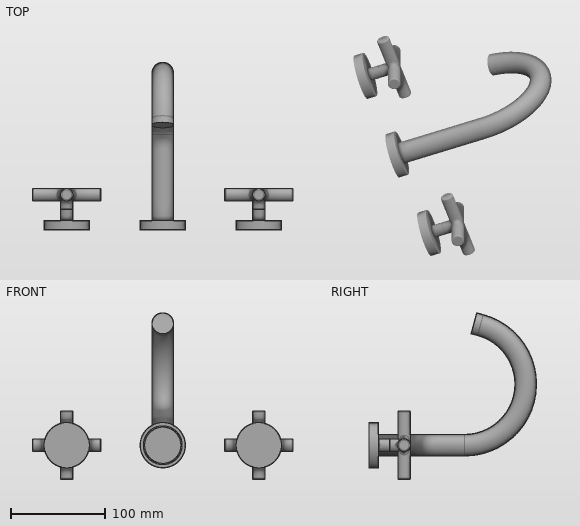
import cadquery as cq
import math

OVERALL_WIDTH = 276.0

FLANGE_DIAMETER = 48.0
FLANGE_THICKNESS = 10.0

GROOVE_OUTER_DIAMETER = 41.0
GROOVE_INNER_DIAMETER = 38.4
GROOVE_DEPTH = 1.5

SPOUT_DIAMETER = 23.0
BEND_OUTER_RADIUS = 76.2
BEND_RADIUS = BEND_OUTER_RADIUS - SPOUT_DIAMETER / 2
STRAIGHT_END_Y = 177.5 - BEND_OUTER_RADIUS
BEND_ANGLE = 165.0
TIP_LENGTH = 7.2

ARM_SPAN = 72.5
HANDLE_OFFSET_X = (OVERALL_WIDTH - ARM_SPAN) / 2
ARM_AXIS_Y = 37.2
LEVEL_ARM_DIAMETER = 13.5
UPRIGHT_ARM_DIAMETER = 13.2
ARM_END_FILLET = 1.5
ARM_JOINT_FILLET = 3.5

STEM_DIAMETER = 13.2
STEM_GROOVE_DIAMETER = 12.1
STEM_GROOVE_WIDTH = 0.8
STEM_GROOVE_STARTS_Y = (FLANGE_THICKNESS, 21.5)


def cylinder_along_y(diameter, start_y, end_y):
    """Round bar on the Y axis between two Y positions."""
    plane = cq.Workplane("XZ", origin=(0, start_y, 0))
    return plane.circle(diameter / 2).extrude(start_y - end_y)


def make_flange():
    return cylinder_along_y(FLANGE_DIAMETER, 0, FLANGE_THICKNESS)


def make_ring(outer_diameter, inner_diameter, start_y, width):
    outer = cylinder_along_y(outer_diameter, start_y, start_y + width)
    return outer.cut(cylinder_along_y(inner_diameter, start_y, start_y + width))


def bend_point(angle):
    """(y, z) of the spout centreline after turning by the angle in degrees."""
    turn = math.radians(angle)
    return (
        STRAIGHT_END_Y + BEND_RADIUS * math.sin(turn),
        BEND_RADIUS * (1 - math.cos(turn)),
    )


def make_spout():
    bend_end = bend_point(BEND_ANGLE)
    end_turn = math.radians(BEND_ANGLE)
    tip = (
        bend_end[0] + TIP_LENGTH * math.cos(end_turn),
        bend_end[1] + TIP_LENGTH * math.sin(end_turn),
    )
    centreline = (
        cq.Workplane("YZ")
        .moveTo(FLANGE_THICKNESS, 0)
        .lineTo(STRAIGHT_END_Y, 0)
        .threePointArc(bend_point(BEND_ANGLE / 2), bend_end)
        .lineTo(*tip)
    )
    pipe = (
        cq.Workplane("XZ", origin=(0, FLANGE_THICKNESS, 0))
        .circle(SPOUT_DIAMETER / 2)
        .sweep(centreline)
    )
    wall_groove = make_ring(GROOVE_OUTER_DIAMETER, GROOVE_INNER_DIAMETER, 0, GROOVE_DEPTH)
    return make_flange().union(pipe).cut(wall_groove)


def make_arm(plane_name, diameter):
    """Bar centred on the arm crossing, with rounded ends."""
    bar = (
        cq.Workplane(plane_name, origin=(0, ARM_AXIS_Y, 0))
        .circle(diameter / 2)
        .extrude(ARM_SPAN / 2, both=True)
    )
    return bar.edges("%CIRCLE").fillet(ARM_END_FILLET)


def make_cross():
    """Two crossing arms with a blend where they meet."""
    cross = make_arm("YZ", LEVEL_ARM_DIAMETER).union(make_arm("XY", UPRIGHT_ARM_DIAMETER))
    joint_size = LEVEL_ARM_DIAMETER + ARM_JOINT_FILLET
    joint_zone = cq.selectors.BoxSelector(
        (-joint_size, ARM_AXIS_Y - joint_size, -joint_size),
        (joint_size, ARM_AXIS_Y + joint_size, joint_size),
    )
    return cross.edges(joint_zone).edges("not(%LINE or %CIRCLE)").fillet(ARM_JOINT_FILLET)


def make_handle(centre_x):
    stem = cylinder_along_y(STEM_DIAMETER, FLANGE_THICKNESS, ARM_AXIS_Y)
    for start_y in STEM_GROOVE_STARTS_Y:
        stem = stem.cut(make_ring(STEM_DIAMETER, STEM_GROOVE_DIAMETER, start_y, STEM_GROOVE_WIDTH))
    handle = make_flange().union(stem).union(make_cross())
    return handle.translate((centre_x, 0, 0))


spout = make_spout()
handles = [make_handle(side * HANDLE_OFFSET_X) for side in (-1, 1)]

result = cq.Compound.makeCompound([spout.val(), *[handle.val() for handle in handles]])